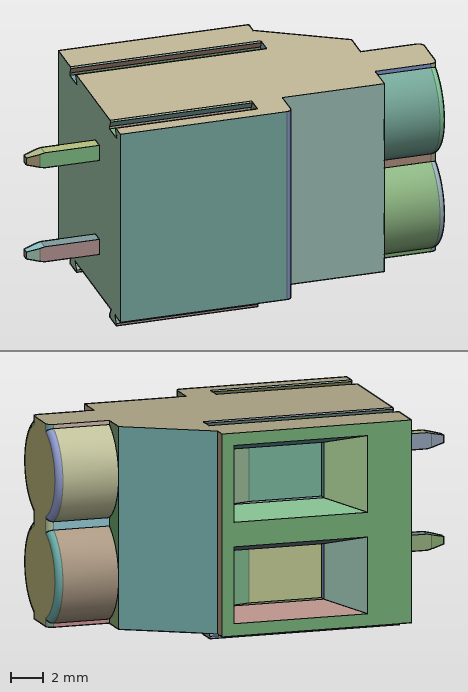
import cadquery as cq

pole_count = 2
pole_pitch = 6.35
body_width = 12.5
body_height = pole_count * pole_pitch
overall_length = 26.1

pin_length = 4.62
head_top_y = overall_length - pin_length
entry_block_y = 12.2
entry_step_width = 0.85
shoulder_y = 17.51
shoulder_left_x = 3.95
shoulder_right_x = 10.52
ledge_y = 11.0
ledge_fillet = 0.35

head_center_x = 7.2
head_radius = 3.25
tongue_width = 2.95
head_fillet = 0.4

funnel_depth = 1.88
funnel_bottom_y = 2.82
pocket_bottom_y = 5.0
pocket_top_y = 11.4
funnel_height = 4.8
pocket_height = 3.47
pocket_extra_depth = 0.47
pocket_slope_y = 9.65

pin_center_x = 7.85
pin_width = 0.8
pin_height = 1.02
pin_tip_size = 0.47
pin_side_taper = 0.84
pin_flat_taper = 1.12

dovetails = [(3.0, entry_block_y), (11.0, 9.05)]
rib_depth = 0.63
dovetail_lip = 0.15
rib_neck_width = 0.78
rib_wide_width = 1.35
groove_mouth_width = 1.15
groove_neck_width = 0.95
groove_wide_width = 1.35
groove_mouth_depth = 0.08

pole_levels = [(i + 0.5) * pole_pitch for i in range(pole_count)]


def make_housing():
    outline = [
        (0, 0),
        (body_width, 0),
        (body_width, ledge_y),
        (shoulder_right_x, ledge_y),
        (shoulder_right_x, shoulder_y),
        (shoulder_left_x, shoulder_y),
        (entry_step_width, entry_block_y),
        (0, entry_block_y),
    ]
    block = cq.Workplane("XY").polyline(outline).close().extrude(body_height)
    ledge_corner = cq.selectors.NearestToPointSelector((body_width, ledge_y, body_height / 2))
    return block.edges(ledge_corner).fillet(ledge_fillet)


def make_tongue():
    length = head_top_y - shoulder_y
    return (
        cq.Workplane("XY")
        .box(tongue_width, length, body_height, centered=(True, False, False))
        .edges("|Z and >Y")
        .fillet(head_fillet)
        .translate((head_center_x, shoulder_y, 0))
    )


def make_screw_head(level):
    length = head_top_y - shoulder_y
    head = (
        cq.Workplane("XZ", origin=(head_center_x, shoulder_y, level))
        .circle(head_radius)
        .extrude(-length)
        .faces(">Y")
        .edges()
        .fillet(head_fillet)
    )
    pole_slice = cq.Workplane("XY").box(body_width, length, pole_pitch).translate(
        (head_center_x, shoulder_y + length / 2, level)
    )
    return head.intersect(pole_slice)


def make_entry_pocket(level):
    funnel_length = pocket_top_y - funnel_bottom_y
    pocket_length = pocket_top_y - pocket_bottom_y
    funnel = (
        cq.Workplane("YZ")
        .center(pocket_top_y - funnel_length / 2, level)
        .rect(funnel_length, funnel_height)
        .workplane(offset=funnel_depth)
        .center((funnel_length - pocket_length) / 2, 0)
        .rect(pocket_length, pocket_height)
        .loft(ruled=True)
    )
    pocket_back_x = funnel_depth + pocket_extra_depth
    pocket_outline = [
        (funnel_depth, pocket_bottom_y),
        (pocket_back_x, pocket_bottom_y),
        (pocket_back_x, pocket_slope_y),
        (funnel_depth, pocket_top_y),
    ]
    pocket = (
        cq.Workplane("XY", origin=(0, 0, level))
        .polyline(pocket_outline)
        .close()
        .extrude(pocket_height / 2, both=True)
    )
    return funnel.union(pocket)


def make_tapered_bar(plane, size, taper_length, thickness):
    """Bar along -Y with a tapered tip, symmetric about the given plane."""
    outline = [
        (-size / 2, 0),
        (size / 2, 0),
        (size / 2, taper_length - pin_length),
        (pin_tip_size / 2, -pin_length),
        (-pin_tip_size / 2, -pin_length),
        (-size / 2, taper_length - pin_length),
    ]
    return cq.Workplane(plane).polyline(outline).close().extrude(thickness / 2, both=True)


def make_pin(level):
    across_x = make_tapered_bar("XY", pin_width, pin_side_taper, pin_height)
    across_z = make_tapered_bar("ZY", pin_height, pin_flat_taper, pin_width)
    return across_x.intersect(across_z).translate((pin_center_x, 0, level))


def extrude_profile(half_profile, center_x, top_z, length):
    """Mirror (half width, depth) points about center_x and extrude them along +Y."""
    right = [(half, -depth) for half, depth in half_profile]
    left = [(-half, -depth) for half, depth in reversed(half_profile)]
    return (
        cq.Workplane("XZ", origin=(center_x, 0, top_z))
        .polyline(right + left)
        .close()
        .extrude(-length)
    )


def make_rib(center_x, length):
    half_profile = [
        (rib_neck_width / 2, 0),
        (rib_wide_width / 2, rib_depth - dovetail_lip),
        (rib_wide_width / 2, rib_depth),
    ]
    return extrude_profile(half_profile, center_x, 0, length)


def make_groove(center_x, length):
    half_profile = [
        (groove_mouth_width / 2, 0),
        (groove_neck_width / 2, groove_mouth_depth),
        (groove_wide_width / 2, rib_depth - dovetail_lip),
        (groove_wide_width / 2, rib_depth),
    ]
    return extrude_profile(half_profile, center_x, body_height, length)


result = make_housing().union(make_tongue())
for pole_level in pole_levels:
    result = result.union(make_screw_head(pole_level))
    result = result.union(make_pin(pole_level))
    result = result.cut(make_entry_pocket(pole_level))
for dovetail_x, dovetail_length in dovetails:
    result = result.union(make_rib(dovetail_x, dovetail_length))
    result = result.cut(make_groove(dovetail_x, dovetail_length))